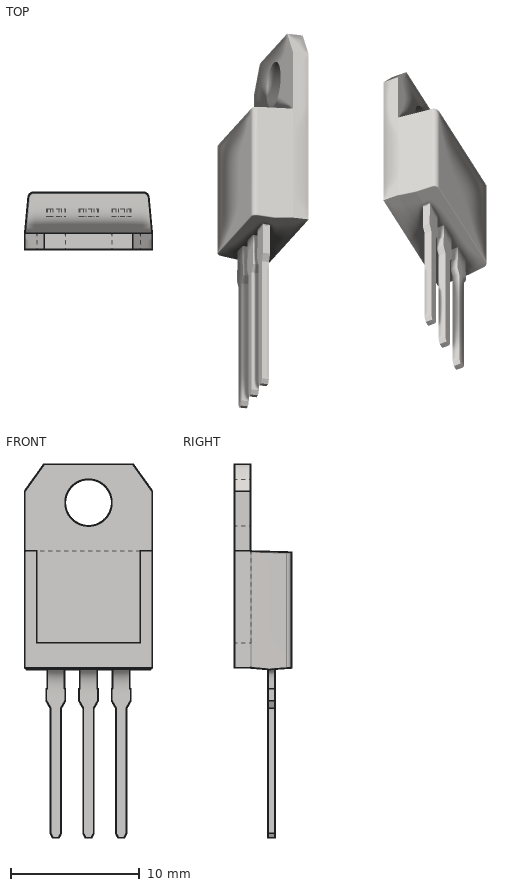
import cadquery as cq

body_width = 9.9
body_depth = 4.46
total_height = 29.03

tab_thickness = 1.27
tab_corner_width = 1.5
tab_corner_height = 2.1
tab_pad_width = 8.0
tab_pad_length = 13.87
hole_diameter = 3.6
hole_below_top = 3.0

shoulder_below_top = 6.75
housing_end_below_top = 15.83
shoulder_drop = 0.09
end_bulge = 0.13
ridge_depth = 2.71
back_width = 9.3
back_corner_radius = 0.45
end_edge_radius = 0.07

lead_pitch = 2.54
lead_count = 3
lead_thickness = 0.58
lead_front = 2.6
lead_neck_width = 1.36
lead_wide_width = 1.5
lead_narrow_width = 0.84
lead_tip_width = 0.45
lead_tip_length = 0.35
lead_root_overlap = 0.5
wide_top_below_top = 17.43
wide_bottom_below_top = 18.37
narrow_top_below_top = 18.95

shoulder = total_height - shoulder_below_top
housing_end = total_height - housing_end_below_top
pad_end = total_height - tab_pad_length
wide_top = total_height - wide_top_below_top
wide_bottom = total_height - wide_bottom_below_top
narrow_top = total_height - narrow_top_below_top


def mirrored_plate(right_side, thickness, x=0, y=0):
    """Plate in the XZ plane, symmetrical about its own centre line, growing toward +Y."""
    left_side = [(-px, pz) for px, pz in reversed(right_side)]
    outline = cq.Workplane("XZ", origin=(x, y, 0)).polyline(right_side + left_side).close()
    return outline.extrude(-thickness)


def make_tab():
    half_body = body_width / 2
    half_pad = tab_pad_width / 2
    plate = mirrored_plate(
        [
            (half_pad, pad_end),
            (half_pad, shoulder),
            (half_body, shoulder),
            (half_body, total_height - tab_corner_height),
            (half_body - tab_corner_width, total_height),
        ],
        tab_thickness,
    )
    hole = (
        cq.Workplane("XZ", origin=(0, 0, total_height - hole_below_top))
        .circle(hole_diameter / 2)
        .extrude(-tab_thickness)
    )
    return plate.cut(hole)


def make_lead(x):
    return mirrored_plate(
        [
            (lead_tip_width / 2, 0),
            (lead_narrow_width / 2, lead_tip_length),
            (lead_narrow_width / 2, narrow_top),
            (lead_wide_width / 2, wide_bottom),
            (lead_wide_width / 2, wide_top),
            (lead_neck_width / 2, wide_top),
            (lead_neck_width / 2, housing_end + lead_root_overlap),
        ],
        lead_thickness,
        x,
        lead_front,
    )


def make_cover():
    """Drafted part of the housing behind the tab."""
    half_front = body_width / 2
    half_back = back_width / 2
    plan = (
        cq.Workplane("XY", origin=(0, 0, housing_end - end_bulge))
        .polyline([
            (half_front, tab_thickness),
            (half_back, body_depth),
            (-half_back, body_depth),
            (-half_front, tab_thickness),
        ])
        .close()
        .extrude(shoulder - housing_end + end_bulge)
        .edges("|Z and >Y")
        .fillet(back_corner_radius)
    )
    side = (
        cq.Workplane("YZ", origin=(-half_front, 0, 0))
        .polyline([
            (tab_thickness, housing_end),
            (ridge_depth, housing_end - end_bulge),
            (body_depth, housing_end),
            (body_depth, shoulder - shoulder_drop),
            (tab_thickness, shoulder),
        ])
        .close()
        .extrude(body_width)
    )
    cover = plan.intersect(side)

    behind_tab = cq.selectors.BoxSelector(
        (-body_width, tab_thickness + end_edge_radius, 0),
        (body_width, 2 * body_depth, total_height),
    )
    end_edges = cover.edges(behind_tab).edges("not |X").edges("not |Z")
    return end_edges.fillet(end_edge_radius)


def make_housing(tab):
    """Housing with its leads, recessed for the tab."""
    front_slab = cq.Workplane("XY", origin=(0, 0, housing_end)).box(
        body_width, tab_thickness, shoulder - housing_end, centered=(True, False, False)
    )
    housing = front_slab.union(make_cover())
    for index in range(lead_count):
        lead_x = (index - (lead_count - 1) / 2) * lead_pitch
        housing = housing.union(make_lead(lead_x))
    return housing.cut(tab)


tab = make_tab()
housing = make_housing(tab)
result = cq.Compound.makeCompound([tab.val(), housing.val()])